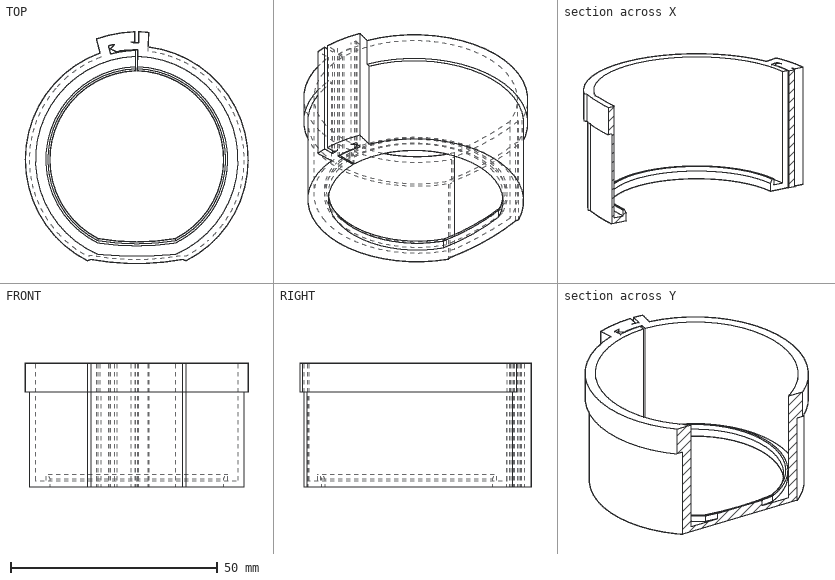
import cadquery as cq
import math

HEIGHT = 30.0
COLLAR_HEIGHT = 7.0
FLOOR_HEIGHT = 1.5
BORE_STRAIGHT_HEIGHT = 2.0
LIP_HEIGHT = 3.0

HALF_CENTRE_SHIFT = 0.5
COLLAR_RADIUS = 27.5
COLLAR_OVERHANG = 1.0
COLLAR_WALL = 2.5
FLOOR_WIDTH = 2.5
LIP_WIDTH = 0.5
FLARE_WIDTH = 0.5
BODY_RADIUS = COLLAR_RADIUS - COLLAR_OVERHANG
INNER_RADIUS = COLLAR_RADIUS - COLLAR_WALL
LIP_OUTER_RADIUS = INNER_RADIUS - FLOOR_WIDTH
LIP_INNER_RADIUS = LIP_OUTER_RADIUS - LIP_WIDTH
BORE_RADIUS = LIP_INNER_RADIUS - FLARE_WIDTH

SHALLOW_DEPTH = 25.2
SHALLOW_RISE = 1.0
SHALLOW_WALL = 1.8
STEP_INNER_X = 11.1
STEP_OUTER_X = 11.95
INNER_CORNER_X = 9.4

LUG_RADIUS = 31.0
LUG_ROOT_RADIUS = (INNER_RADIUS + BODY_RADIUS) / 2
LUG_LEFT_TOP_ANGLE = 19.4
LUG_LEFT_ROOT_ANGLE = 20.4
LUG_RIGHT_TOP_ANGLE = 6.4
LUG_RIGHT_ROOT_ANGLE = 7.1

POCKET_FLOOR_RADIUS = BODY_RADIUS
POCKET_CEILING_RADIUS = 28.5
POCKET_END_ANGLE = 14.9
BARB_TOP_ANGLE = 11.9
BARB_TIP = (-6.42, 26.8)
BARB_HEEL = (-4.81, 26.03)
TONGUE_CLEARANCE = 0.05
TONGUE_BOTTOM_RADIUS = POCKET_FLOOR_RADIUS + TONGUE_CLEARANCE
TONGUE_NECK_X = -4.02

SPLIT_HALF_WIDTH = 0.25
SPLIT_INNER_RIGHT_X = 0.1
CUT_OVERRUN = 1.0
GAP_HALF_WIDTH = 0.43
GAP_FLOOR_Y = 28.3
CREVICE_TIP = (-1.4, 28.43)


def circle_height(radius, x):
    """Y on a circle about the origin at a given x."""
    return math.sqrt(radius**2 - x**2)


def left_point(radius, angle):
    """Point of the left half circle, angle in degrees from +Y towards -X."""
    turn = math.radians(angle)
    return (HALF_CENTRE_SHIFT - radius * math.sin(turn), radius * math.cos(turn))


def mirrored(point):
    """Point reflected across the middle plane."""
    return (-point[0], point[1])


def left_height(radius, x):
    """Y on the upper left half circle at a given x."""
    return circle_height(radius, x - HALF_CENTRE_SHIFT)


def lower_left_point(radius, x):
    """Point of the lower left half circle at a given x."""
    return (x, -left_height(radius, x))


def ring_profile(radius, shallow_depth, circle_end, shallow_end, z):
    """Closed ring outline; a short step may join the circles to the shallow arc."""
    has_step = circle_end != shallow_end
    top = (0, left_height(radius, 0))
    left_side = (HALF_CENTRE_SHIFT - radius, 0)
    outline = cq.Workplane("XY").workplane(offset=z).moveTo(*top)
    outline = outline.threePointArc(left_side, circle_end)
    if has_step:
        outline = outline.lineTo(*shallow_end)
    outline = outline.threePointArc((0, -shallow_depth), mirrored(shallow_end))
    if has_step:
        outline = outline.lineTo(*mirrored(circle_end))
    return outline.threePointArc(mirrored(left_side), top).close()


def outer_profile(radius, z):
    """Outline of the collar or body, stepped at the ends of the shallow arc."""
    shallow_depth = SHALLOW_DEPTH - (COLLAR_RADIUS - radius)
    circle_end = lower_left_point(radius, -STEP_OUTER_X)
    shallow_end = (-STEP_INNER_X, SHALLOW_RISE - shallow_depth)
    return ring_profile(radius, shallow_depth, circle_end, shallow_end, z)


def inner_profile(radius, z):
    """Outline of the room, lip or bore, with a plain corner at each arc end."""
    shallow_depth = SHALLOW_DEPTH - SHALLOW_WALL - (INNER_RADIUS - radius)
    corner = lower_left_point(radius, -INNER_CORNER_X)
    return ring_profile(radius, shallow_depth, corner, corner, z)


def ring_body():
    """Solid body with the wider collar around its top."""
    body = outer_profile(BODY_RADIUS, 0).extrude(HEIGHT)
    collar = outer_profile(COLLAR_RADIUS, HEIGHT - COLLAR_HEIGHT).extrude(COLLAR_HEIGHT)
    return body.union(collar)


def lug():
    """Left clasp block and right finger, meeting at the middle plane."""
    top = (0, left_height(LUG_RADIUS, 0))
    root = (0, left_height(LUG_ROOT_RADIUS, 0))

    def block(top_angle, root_angle, place):
        return (
            cq.Workplane("XY")
            .moveTo(*root)
            .lineTo(*top)
            .threePointArc(
                place(left_point(LUG_RADIUS, top_angle / 2)),
                place(left_point(LUG_RADIUS, top_angle)),
            )
            .lineTo(*place(left_point(LUG_ROOT_RADIUS, root_angle)))
            .close()
            .extrude(HEIGHT)
        )

    left_block = block(LUG_LEFT_TOP_ANGLE, LUG_LEFT_ROOT_ANGLE, tuple)
    right_finger = block(LUG_RIGHT_TOP_ANGLE, LUG_RIGHT_ROOT_ANGLE, mirrored)
    return left_block.union(right_finger)


def cavity():
    """Space above the floor, around the raised lip, and the flared bore."""
    room = inner_profile(INNER_RADIUS, FLOOR_HEIGHT).extrude(HEIGHT - FLOOR_HEIGHT)
    lip = inner_profile(LIP_OUTER_RADIUS, FLOOR_HEIGHT).extrude(LIP_HEIGHT - FLOOR_HEIGHT)
    bore = inner_profile(BORE_RADIUS, 0).extrude(LIP_HEIGHT)
    flare_wires = [
        inner_profile(BORE_RADIUS, BORE_STRAIGHT_HEIGHT).val(),
        inner_profile(LIP_INNER_RADIUS, LIP_HEIGHT).val(),
    ]
    flare = cq.Workplane(cq.Solid.makeLoft(flare_wires, True))
    return room.cut(lip).union(bore).union(flare)


def clasp_pocket():
    """Open space in the lug around the barb and under the tongue."""
    tongue_height = circle_height(TONGUE_BOTTOM_RADIUS, TONGUE_NECK_X + HALF_CENTRE_SHIFT)
    tongue_middle_x = TONGUE_NECK_X / 2
    tongue_middle_y = circle_height(TONGUE_BOTTOM_RADIUS, tongue_middle_x + HALF_CENTRE_SHIFT)
    return (
        cq.Workplane("XY")
        .moveTo(*left_point(POCKET_FLOOR_RADIUS, POCKET_END_ANGLE))
        .lineTo(*left_point(POCKET_CEILING_RADIUS, POCKET_END_ANGLE))
        .threePointArc(
            left_point(POCKET_CEILING_RADIUS, (POCKET_END_ANGLE + BARB_TOP_ANGLE) / 2),
            left_point(POCKET_CEILING_RADIUS, BARB_TOP_ANGLE),
        )
        .lineTo(*BARB_TIP)
        .lineTo(*BARB_HEEL)
        .lineTo(TONGUE_NECK_X, tongue_height)
        .threePointArc(
            (tongue_middle_x, tongue_middle_y),
            (0, left_height(TONGUE_BOTTOM_RADIUS, 0)),
        )
        .lineTo(0, left_height(POCKET_FLOOR_RADIUS, 0))
        .threePointArc(
            left_point(POCKET_FLOOR_RADIUS, POCKET_END_ANGLE / 2),
            left_point(POCKET_FLOOR_RADIUS, POCKET_END_ANGLE),
        )
        .close()
        .extrude(HEIGHT)
    )


def ring_split():
    """Slit through the ring wall, narrowing towards the bore."""
    split_bottom = BORE_RADIUS - CUT_OVERRUN
    split_top = left_height(TONGUE_BOTTOM_RADIUS, 0)
    outline = [
        (-SPLIT_HALF_WIDTH, split_bottom),
        (-SPLIT_HALF_WIDTH, split_top),
        (SPLIT_HALF_WIDTH, split_top),
        (SPLIT_INNER_RIGHT_X, BORE_RADIUS),
        (SPLIT_INNER_RIGHT_X, split_bottom),
    ]
    return cq.Workplane("XY").polyline(outline).close().extrude(HEIGHT)


def finger_gap():
    """Gap above the tongue, with a thin crevice running under the lug."""
    gap_top = LUG_RADIUS + CUT_OVERRUN
    crevice_top = left_height(POCKET_CEILING_RADIUS, -GAP_HALF_WIDTH)
    outline = [
        CREVICE_TIP,
        (-GAP_HALF_WIDTH, GAP_FLOOR_Y),
        (GAP_HALF_WIDTH, GAP_FLOOR_Y),
        (GAP_HALF_WIDTH, gap_top),
        (-GAP_HALF_WIDTH, gap_top),
        (-GAP_HALF_WIDTH, crevice_top),
    ]
    return cq.Workplane("XY").polyline(outline).close().extrude(HEIGHT)


result = ring_body().union(lug()).cut(cavity())
result = result.cut(clasp_pocket()).cut(ring_split()).cut(finger_gap())